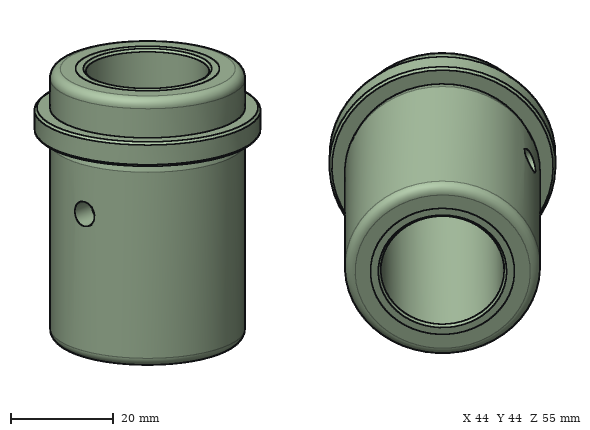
import cadquery as cq

height = 55.0
flange_diameter = 44.0
barrel_diameter = 38.0
liner_diameter = 28.0
bore_diameter = 24.0

head_height = 8.0
flange_thickness = 5.0
flange_chamfer = 0.5
relief_height = 2.0
relief_depth = 0.55

end_radius = 2.0
bore_chamfer = 0.5
hole_diameter = 5.0
hole_below_top = 25.0

flange_top = height - head_height
flange_bottom = flange_top - flange_thickness
relief_bottom = flange_bottom - relief_height
barrel_radius = barrel_diameter / 2
flange_radius = flange_diameter / 2


def make_housing():
    """Flanged sleeve with rounded ends, an undercut relief and one radial hole."""
    outline = [
        (0, 0),
        (barrel_radius, 0),
        (barrel_radius, relief_bottom),
        (barrel_radius - relief_depth, flange_bottom),
        (flange_radius - flange_chamfer, flange_bottom),
        (flange_radius, flange_bottom + flange_chamfer),
        (flange_radius, flange_top - flange_chamfer),
        (flange_radius - flange_chamfer, flange_top),
        (barrel_radius, flange_top),
        (barrel_radius, height),
        (0, height),
    ]
    body = cq.Workplane("XZ").polyline(outline).close().revolve(360, (0, 0, 0), (0, 1, 0))
    body = body.faces("<Z or >Z").edges().fillet(end_radius)
    seat = cq.Workplane("XY").circle(liner_diameter / 2).extrude(height)
    cross_hole = (
        cq.Workplane("XZ")
        .center(0, height - hole_below_top)
        .circle(hole_diameter / 2)
        .extrude(flange_radius)
    )
    return body.cut(seat).cut(cross_hole)


def make_liner():
    """Plain tube filling the housing bore, with chamfered bore mouths."""
    tube = (
        cq.Workplane("XY")
        .circle(liner_diameter / 2)
        .circle(bore_diameter / 2)
        .extrude(height)
    )
    return tube.edges(cq.selectors.RadiusNthSelector(0)).chamfer(bore_chamfer)


housing = make_housing()
liner = make_liner()
result = cq.Compound.makeCompound([housing.val(), liner.val()])